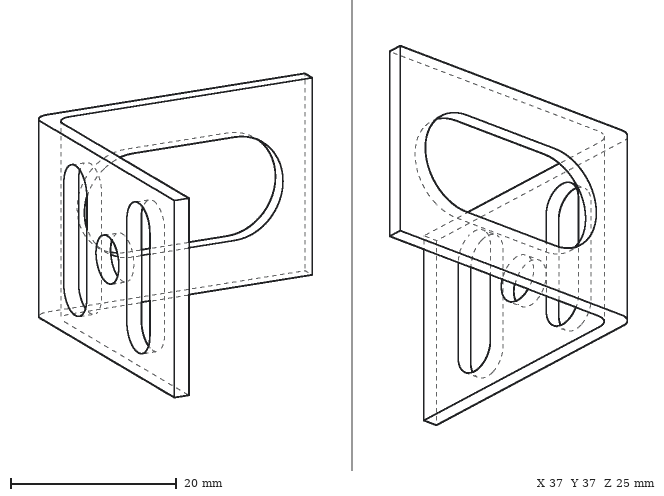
import cadquery as cq

leg_length = 37.0
height = 25.0
thickness = 2.0

outer_bend_radius = 2.0
inner_bend_radius = 2.0

opening_center = 19.5
hole_diameter = 6.0
narrow_slot_width = hole_diameter
narrow_slot_length = 19.0
narrow_slot_centers = (11.1, 27.55)
wide_slot_width = 13.1
wide_slot_length = 27.0

mid_height = height / 2


def bent_sheet():
    """L-shaped sheet with its outer corner at the origin."""
    outline = [
        (0, 0),
        (leg_length, 0),
        (leg_length, thickness),
        (thickness, thickness),
        (thickness, leg_length),
        (0, leg_length),
    ]
    sheet = cq.Workplane("XY").polyline(outline).close().extrude(height)
    sheet = sheet.edges(cq.selectors.NearestToPointSelector((0, 0, mid_height))).fillet(outer_bend_radius)
    inner_corner = (thickness, thickness, mid_height)
    return sheet.edges(cq.selectors.NearestToPointSelector(inner_corner)).fillet(inner_bend_radius)


def front_leg_openings():
    """Round hole between two upright slots, through the leg along X."""
    plane = cq.Workplane("XZ")
    hole = plane.center(opening_center, mid_height).circle(hole_diameter / 2).extrude(-thickness)
    slots = (
        plane.pushPoints([(x, mid_height) for x in narrow_slot_centers])
        .slot2D(narrow_slot_length, narrow_slot_width, 90)
        .extrude(-thickness)
    )
    return slots.add(hole).combine()


def side_leg_opening():
    """Wide horizontal slot through the leg along Y."""
    return (
        cq.Workplane("YZ")
        .center(opening_center, mid_height)
        .slot2D(wide_slot_length, wide_slot_width)
        .extrude(thickness)
    )


result = bent_sheet().cut(front_leg_openings()).cut(side_leg_opening())